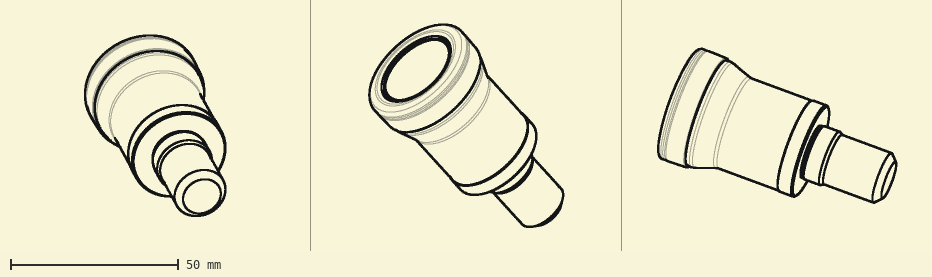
import cadquery as cq

overall_length = 68.0

cap_length = 9.25
cap_radius = 35.0 / 2
cap_rear_radius = 17.35
cap_rear_fillet = 0.2
lip_inner_radius = 13.9
lip_outer_radius = 14.55
lip_blend = 0.1
face_edge_radius = 16.6
face_edge_x = 0.5
corner_end_x = 1.7
corner_setback = 0.3
groove_floor_start_x = 2.3
groove_floor_end_x = 2.9
groove_end_x = 3.3
groove_depth = 0.1
dish_radius = 12.6
dish_depth = 0.55
dish_floor_radius = 12.05

nose_radius = 11.7
nose_depth = 1.0
nose_chamfer = 0.2
flange_radius = 33.6 / 2
flange_chamfer = 0.2
flange_end_x = 10.7
cone_start_x = 11.55
cone_start_radius = 16.6
cone_end_x = 17.5
flare_blend = 0.2
barrel_start_x = 18.5
barrel_radius = 28.6 / 2
cone_end_radius = barrel_radius + flare_blend
collar_start_x = 38.0
collar_end_x = 42.9
collar_radius = 29.0 / 2
collar_front_chamfer = 0.17
collar_rear_chamfer = 0.4
neck_radius = 16.6 / 2
neck_end_x = 43.5
seat_start_x = 44.05
seat_end_x = 48.95
seat_radius = 17.0 / 2
stem_start_x = 50.05
stem_radius = 15.8 / 2
tip_chamfer = 2.05


def turn(profile):
    """Revolve a closed XY profile about the X axis."""
    return profile.close().revolve(360, (0, 0, 0), (1, 0, 0))


def make_cap():
    """Ring with a domed lip, a dished inner edge and a shallow groove near the front."""
    corner_mid_x = face_edge_x + corner_setback * (corner_end_x - face_edge_x)
    corner_mid_radius = cap_radius - corner_setback * (cap_radius - face_edge_radius)
    groove_radius = cap_radius - groove_depth
    crest_radius = (lip_inner_radius + lip_outer_radius) / 2
    profile = (
        cq.Workplane("XY")
        .moveTo(cap_length, nose_radius)
        .lineTo(nose_depth, nose_radius)
        .lineTo(nose_depth, dish_floor_radius)
        .lineTo(dish_depth, dish_radius)
        .lineTo(lip_blend, lip_inner_radius)
        .threePointArc((0, crest_radius), (lip_blend, lip_outer_radius))
        .lineTo(face_edge_x, face_edge_radius)
        .threePointArc((corner_mid_x, corner_mid_radius), (corner_end_x, cap_radius))
        .lineTo(groove_floor_start_x, groove_radius)
        .lineTo(groove_floor_end_x, groove_radius)
        .lineTo(groove_end_x, cap_radius)
        .lineTo(cap_length, cap_rear_radius)
    )
    outer_edge = cq.selectors.RadiusNthSelector(-1)
    return turn(profile).faces(">X").edges(outer_edge).fillet(cap_rear_fillet)


def make_core():
    """Nose that fills the cap, flared housing with a rear collar, and the stepped stem."""
    profile = (
        cq.Workplane("XY")
        .moveTo(nose_depth, 0)
        .lineTo(nose_depth, nose_radius - nose_chamfer)
        .lineTo(nose_depth + nose_chamfer, nose_radius)
        .lineTo(cap_length, nose_radius)
        .lineTo(cap_length, flange_radius - flange_chamfer)
        .lineTo(cap_length + flange_chamfer, flange_radius)
        .lineTo(flange_end_x, flange_radius)
        .lineTo(cone_start_x, cone_start_radius)
        .lineTo(cone_end_x, cone_end_radius)
        .lineTo(barrel_start_x, barrel_radius)
        .lineTo(collar_start_x, barrel_radius)
        .lineTo(collar_start_x + collar_front_chamfer, collar_radius)
        .lineTo(collar_end_x - collar_rear_chamfer, collar_radius)
        .lineTo(collar_end_x, collar_radius - collar_rear_chamfer)
        .lineTo(collar_end_x, neck_radius)
        .lineTo(neck_end_x, neck_radius)
        .lineTo(seat_start_x, seat_radius)
        .lineTo(seat_end_x, seat_radius)
        .lineTo(stem_start_x, stem_radius)
        .lineTo(overall_length - tip_chamfer, stem_radius)
        .lineTo(overall_length, stem_radius - tip_chamfer)
        .lineTo(overall_length, 0)
    )
    return turn(profile)


cap = make_cap()
core = make_core()

result = cq.Compound.makeCompound([cap.val(), core.val()])